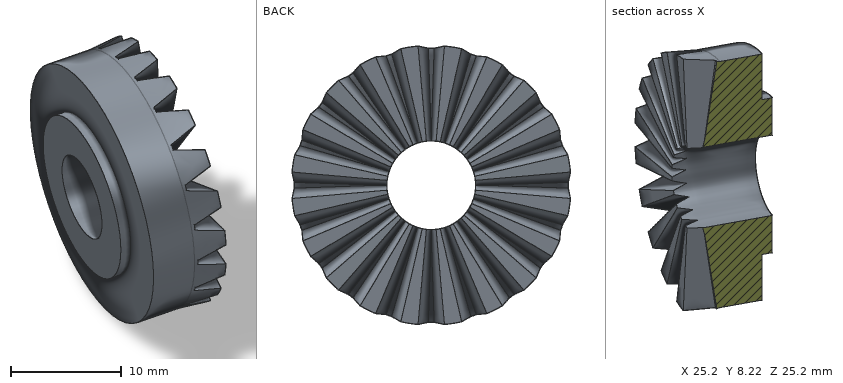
import cadquery as cq
import math

bore_radius = 4.0
hub_radius = 7.78
hub_length = 1.0
body_radius = 12.35
body_length = 4.15
tip_radius = 12.637
tooth_zone_length = 3.07
body_back_y = hub_length
cone_start_y = body_back_y + body_length
tip_y = cone_start_y + tooth_zone_length
tip_drop_at_bore = 0.05

tooth_count = 20
space_tip_half_width = 1.2
space_root_half_width = 0.27
space_tip_half_width_at_bore = 0.46
space_depth = 2.8
root_angle = 8.8

cutter_inner_radius = bore_radius / 2
cutter_outer_radius = tip_radius + 1.0
cutter_top_margin = 0.5


def make_blank():
    """Revolved hub, cylindrical body and slightly flared tooth ring, with the bore through."""
    half_section = [
        (bore_radius, 0),
        (hub_radius, 0),
        (hub_radius, body_back_y),
        (body_radius, body_back_y),
        (body_radius, cone_start_y),
        (tip_radius, tip_y),
        (bore_radius, tip_y - tip_drop_at_bore),
    ]
    profile = cq.Workplane("XY").polyline(half_section).close()
    return profile.revolve(360, (0, 0, 0), (0, 1, 0))


def wedge_section(radius):
    """Triangular section of a tooth space at a given radius; it narrows toward the axis."""
    flank_slope = (space_tip_half_width - space_root_half_width) / space_depth
    taper = (space_tip_half_width - space_tip_half_width_at_bore) / (tip_radius - bore_radius)
    tip_half_width = space_tip_half_width - taper * (tip_radius - radius)
    top_half_width = tip_half_width + flank_slope * cutter_top_margin
    top_y = tip_y + cutter_top_margin
    apex_y = tip_y - tip_half_width / flank_slope
    corners = [
        cq.Vector(-top_half_width, top_y, radius),
        cq.Vector(top_half_width, top_y, radius),
        cq.Vector(0, apex_y, radius),
    ]
    return cq.Wire.makePolygon(corners, close=True)


def make_space_cutter():
    """Tooth space along +Z: a converging V truncated by the sloping root plane."""
    sections = [wedge_section(cutter_inner_radius), wedge_section(cutter_outer_radius)]
    wedge = cq.Workplane(cq.Solid.makeLoft(sections, True))

    def root_y(radius):
        return tip_y - space_depth + (tip_radius - radius) * math.tan(math.radians(root_angle))

    above_root = (
        cq.Workplane("YZ")
        .moveTo(root_y(cutter_inner_radius), cutter_inner_radius)
        .lineTo(root_y(cutter_outer_radius), cutter_outer_radius)
        .lineTo(tip_y + cutter_top_margin, cutter_outer_radius)
        .lineTo(tip_y + cutter_top_margin, cutter_inner_radius)
        .close()
        .extrude(2 * space_tip_half_width, both=True)
    )
    return wedge.intersect(above_root)


def cut_tooth_spaces(blank):
    """Cut equally spaced tooth spaces around the Y axis."""
    cutter = make_space_cutter()
    gear = blank
    for index in range(tooth_count):
        angle = index * 360 / tooth_count
        gear = gear.cut(cutter.rotate((0, 0, 0), (0, 1, 0), angle))
    return gear


result = cut_tooth_spaces(make_blank())